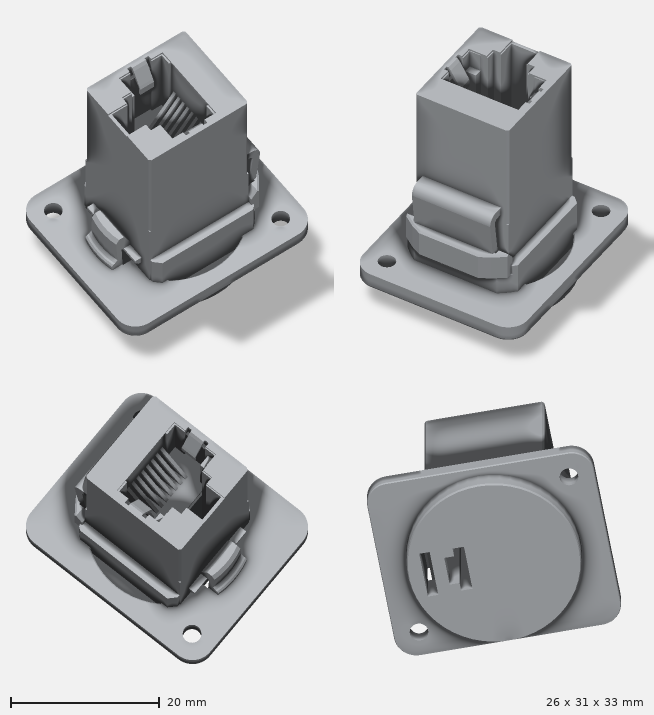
import cadquery as cq

TOTAL_HEIGHT = 33.0
PLATE_BOTTOM = 2.87
PLATE_TOP = 5.15
PAD_TOP = 9.77
CLIP_BOTTOM = 8.3
CLIP_TOP = 12.28
FLOOR_Z = 21.12

PLATE_X = 26.0
PLATE_Y = 31.0
PLATE_CORNER_RADIUS = 3.05
PLATE_CHAMFER_WIDTH = 0.1
PLATE_CHAMFER_HEIGHT = 0.23
HOLE_DIAMETER = 2.5
HOLE_X = 9.5
HOLE_Y = 12.0
DISC_RADIUS = 11.75
DISC_CHAMFER_WIDTH = 0.13
DISC_CHAMFER_HEIGHT = 0.35
DISC_TOP_RADIUS = 11.85
RECESS_RADIUS = 10.75
RECESS_CHAMFER = 0.15
RECESS_LENGTH = 12.08

BODY_X = 14.72
BODY_Y = 16.45
BODY_HALF_Y = BODY_Y / 2
BODY_CHAMFER = 0.3
BODY_CHAMFER_START = 16.45
BASE_HALF_X = 8.75
BASE_RADIUS = 11.85
BASE_CHAMFER = 1.0
PAD_FRONT_Y = -8.1
BASE_BACK_Y = 9.87
PAD_BACK_Y = 8.5

RIM = 0.15
LIP = 0.25
CAVITY_HALF_X = 5.97
CAVITY_FRONT_Y = -3.43
CAVITY_BACK_Y = 3.9
LIP_BACK_Y = 3.7
STRIP_HALF_X = 4.3
STRIP_Y = 3.43
PILLAR_Y = -2.28
PILLAR_TOP = 30.03
FLOOR_STEP_Y = -3.25
FLOOR_STEP = 0.33
FLOOR_END_Y = -3.53
KEYWAY_HALF_X = 3.17
KEYWAY_STEP_Y = -5.08
KEYWAY_TIP_HALF_X = 2.0
KEYWAY_END_Y = -7.72
KEYWAY_LEDGE_Y = -6.45

CONTACT_COUNT = 8
CONTACT_PITCH = 1.02
CONTACT_WIDTH = 0.5
CONTACT_FRONT_Y = -0.5
CONTACT_RISE = 5.28

POCKET_FRONT_Y = -1.75
POCKET_BACK_Y = 1.8
POCKET_HALF_X = 6.27
POCKET_MOUTH_HALF_X = 6.75
POCKET_MOUTH_DEPTH = 2.3
SPRING_WIDTH = 2.28
SPRING_CENTRE_Y = 0.03
SPRING_THICKNESS = 0.25

STRAP_WIDTH = 12.4
STRAP_THICKNESS = 1.22
STRAP_TOP = 19.0
STRAP_BEND_RADIUS = 1.45
STRAP_INNER_RADIUS = 0.63
STRAP_OUTER_Y = 11.0
STRAP_FOOT_Y = 9.75
STRAP_FOOT_Z = 7.8
CLIP_HALF_X = 8.02
CLIP_SHOULDER_X = 6.2
CLIP_BACK_HALF_X = 4.65
CLIP_SIDE_Y = 9.5
CLIP_SHOULDER_Y = 10.82
CLIP_BACK_Y = 11.6
CLIP_CHAMFER = 0.25
CLIP_SLOT_HALF_X = 6.47
CLIP_SLOT_Y = 9.95
CLIP_ARM_SLOPE_Y = 9.25
CLIP_ARM_Z = 11.05

LATCH_INNER_Y = -9.65
LATCH_RADIUS = 10.82
LATCH_FOOT_HALF_X = 3.1
LATCH_TIP_HALF_X = 2.75
LATCH_FOOT_TOP = 5.87
LATCH_FOOT_RIM_RADIUS = 11.52
LATCH_FOOT_RIM_Z = 6.15
LATCH_FOOT_LEDGE_RADIUS = 11.25
LATCH_FOOT_LEDGE_Z = 6.25
LATCH_NECK_Z = 6.63
LATCH_SHOULDER_Z = 10.03
LATCH_TOP = 10.7
LATCH_TOP_FRONT_RADIUS = 10.33
LATCH_TOP_BACK_Y = -9.17
LATCH_NOSE_TOP = 8.98
LATCH_SLOT_HALF_X = 3.25
BAR_LENGTH = 11.02
BAR_FRONT_Y = -9.27
BAR_CHAMFER_Y = -8.7
BAR_CHAMFER_Z = 7.82
BAR_BOTTOM = 7.25


def block(x0, x1, y0, y1, z0, z1):
    """Axis-aligned box between two opposite corners."""
    return cq.Workplane("XY").box(x1 - x0, y1 - y0, z1 - z0, centered=False).translate((x0, y0, z0))


def centred_block(half_x, y0, y1, z0, z1):
    return block(-half_x, half_x, y0, y1, z0, z1)


def extrude_along_x(yz_points, width):
    """Prism with the given Y-Z outline, centred on X = 0."""
    return cq.Workplane("YZ").polyline(yz_points).close().extrude(width / 2, both=True)


def revolve_about_z(rz_points):
    return cq.Workplane("XZ").polyline(rz_points).close().revolve(360, (0, 0), (0, 1))


def flange():
    """Corner-rounded plate over a slightly tapered disc, with two holes and a shallow recess."""
    plate = (
        cq.Workplane("XY")
        .box(PLATE_X, PLATE_Y, PLATE_TOP - PLATE_BOTTOM, centered=(True, True, False))
        .translate((0, 0, PLATE_BOTTOM))
        .edges("|Z")
        .fillet(PLATE_CORNER_RADIUS)
        .faces("<Z")
        .chamfer(PLATE_CHAMFER_HEIGHT, PLATE_CHAMFER_WIDTH)
    )
    disc = revolve_about_z([
        (0, 0),
        (DISC_RADIUS - DISC_CHAMFER_WIDTH, 0),
        (DISC_RADIUS, DISC_CHAMFER_HEIGHT),
        (DISC_TOP_RADIUS, PLATE_BOTTOM),
        (0, PLATE_BOTTOM),
    ])
    holes = (
        cq.Workplane("XY")
        .pushPoints([(HOLE_X, HOLE_Y), (-HOLE_X, -HOLE_Y)])
        .circle(HOLE_DIAMETER / 2)
        .extrude(PLATE_TOP)
    )
    recess = (
        cq.Workplane("XY", origin=(0, 0, PLATE_BOTTOM))
        .circle(RECESS_RADIUS)
        .extrude(PLATE_TOP - PLATE_BOTTOM)
        .intersect(centred_block(RECESS_RADIUS, -RECESS_LENGTH / 2, RECESS_LENGTH / 2, 0, PLATE_TOP))
    )
    plate = plate.cut(holes).cut(recess)
    margin = RECESS_CHAMFER
    recess_rim = cq.selectors.BoxSelector(
        (-RECESS_RADIUS - margin, -RECESS_LENGTH / 2 - margin, PLATE_TOP - margin),
        (RECESS_RADIUS + margin, RECESS_LENGTH / 2 + margin, PLATE_TOP + margin),
    )
    plate = plate.edges(recess_rim).chamfer(RECESS_CHAMFER)
    return plate.union(disc)


def housing():
    """Tall square body; only its upper half has chamfered corners."""
    lower = centred_block(BODY_X / 2, -BODY_HALF_Y, BODY_HALF_Y, PLATE_BOTTOM, BODY_CHAMFER_START)
    upper = (
        centred_block(BODY_X / 2, -BODY_HALF_Y, BODY_HALF_Y, BODY_CHAMFER_START, TOTAL_HEIGHT)
        .edges("|Z")
        .chamfer(BODY_CHAMFER)
    )
    return lower.union(upper)


def insert_base():
    """Round-backed pads around the foot of the housing."""
    pads = centred_block(BASE_HALF_X, PAD_FRONT_Y, PAD_BACK_Y, PLATE_BOTTOM, PAD_TOP)
    pads = pads.edges("|Z and <Y").chamfer(BASE_CHAMFER)
    back = centred_block(BASE_HALF_X, 0, BASE_BACK_Y, PLATE_BOTTOM, CLIP_BOTTOM)
    rounding = cq.Workplane("XY").circle(BASE_RADIUS).extrude(PAD_TOP)
    return pads.union(back).intersect(rounding)


def keyway(margin, z0, z1):
    """Stepped slot in front of the jack cavity, widened by a margin on both sides."""
    wide = centred_block(KEYWAY_HALF_X + margin, KEYWAY_STEP_Y, FLOOR_END_Y, z0, z1)
    narrow = centred_block(KEYWAY_TIP_HALF_X + margin, KEYWAY_END_Y, FLOOR_END_Y, z0, z1)
    return wide.union(narrow)


def jack_cavity():
    """Space removed for the plug, latch keyway and spring pockets."""
    lip_z = TOTAL_HEIGHT - LIP
    step_z = FLOOR_Z - FLOOR_STEP
    mouth = centred_block(CAVITY_HALF_X + RIM, FLOOR_END_Y, LIP_BACK_Y, lip_z, TOTAL_HEIGHT)
    mouth_slot = centred_block(KEYWAY_TIP_HALF_X + RIM, -BODY_HALF_Y, FLOOR_END_Y, lip_z, TOTAL_HEIGHT)
    room = centred_block(CAVITY_HALF_X, CAVITY_FRONT_Y, STRIP_Y, FLOOR_Z, lip_z)
    back = centred_block(STRIP_HALF_X, STRIP_Y, CAVITY_BACK_Y, FLOOR_Z, lip_z)
    floor_step = centred_block(STRIP_HALF_X, FLOOR_END_Y, FLOOR_STEP_Y, step_z, lip_z)
    pocket = centred_block(POCKET_HALF_X, POCKET_FRONT_Y, POCKET_BACK_Y, FLOOR_Z, TOTAL_HEIGHT)
    pocket_mouth = centred_block(
        POCKET_MOUTH_HALF_X, POCKET_FRONT_Y, POCKET_BACK_Y, TOTAL_HEIGHT - POCKET_MOUTH_DEPTH, TOTAL_HEIGHT
    )
    for side in (-1, 1):
        pillar_x = sorted((side * STRIP_HALF_X, side * CAVITY_HALF_X))
        room = room.cut(block(*pillar_x, CAVITY_FRONT_Y, PILLAR_Y, FLOOR_Z, PILLAR_TOP))
    ledge = centred_block(KEYWAY_TIP_HALF_X, KEYWAY_END_Y, KEYWAY_LEDGE_Y, 0, PLATE_BOTTOM)
    slot = keyway(0, 0, TOTAL_HEIGHT).union(keyway(RIM, lip_z, TOTAL_HEIGHT)).cut(ledge)
    cavity = room
    for space in (back, floor_step, mouth, mouth_slot, pocket, pocket_mouth, slot):
        cavity = cavity.union(space)
    return cavity


def contacts():
    """Row of thin wedges sloping from the cavity back wall down to the floor."""
    outline = [
        (CONTACT_FRONT_Y, FLOOR_Z),
        (CAVITY_BACK_Y, FLOOR_Z + CONTACT_RISE),
        (CAVITY_BACK_Y, FLOOR_Z - FLOOR_STEP),
        (CONTACT_FRONT_Y, FLOOR_Z - FLOOR_STEP),
    ]
    wedge = extrude_along_x(outline, CONTACT_WIDTH)
    row = cq.Workplane("XY")
    for i in range(CONTACT_COUNT):
        x = (i - (CONTACT_COUNT - 1) / 2) * CONTACT_PITCH
        row = row.add(wedge.translate((x, 0, 0)))
    return row.combine()


def shield_spring():
    """Bent leaf on the +X side: it leans inward from the pocket mouth, then hangs down."""
    root_x, root_z = 6.47, TOTAL_HEIGHT
    lead_x, lead_z = 6.1, 32.57
    bend_x, bend_z = 4.82, 30.45
    tip_x, knee_z, tip_z = 4.6, 30.03, 28.85
    return (
        cq.Workplane("XZ", origin=(0, SPRING_CENTRE_Y, 0))
        .moveTo(POCKET_MOUTH_HALF_X, root_z)
        .lineTo(root_x, root_z)
        .lineTo(lead_x, lead_z)
        .lineTo(bend_x, bend_z)
        .lineTo(tip_x, knee_z)
        .lineTo(tip_x, tip_z)
        .lineTo(tip_x + SPRING_THICKNESS, tip_z)
        .lineTo(tip_x + SPRING_THICKNESS, knee_z)
        .lineTo(POCKET_MOUTH_HALF_X, root_z - 2 * SPRING_THICKNESS)
        .close()
        .extrude(SPRING_WIDTH / 2, both=True)
    )


def rear_strap():
    """Hook-shaped strap that leaves the housing back and leans down into the clip."""
    bend_z = STRAP_TOP - STRAP_BEND_RADIUS
    inner_y = STRAP_OUTER_Y - STRAP_THICKNESS
    under_z = STRAP_TOP - STRAP_THICKNESS
    return (
        cq.Workplane("YZ")
        .moveTo(BODY_HALF_Y, STRAP_TOP)
        .lineTo(STRAP_OUTER_Y - STRAP_BEND_RADIUS, STRAP_TOP)
        .radiusArc((STRAP_OUTER_Y, bend_z), STRAP_BEND_RADIUS)
        .lineTo(STRAP_FOOT_Y, STRAP_FOOT_Z)
        .lineTo(STRAP_FOOT_Y - STRAP_THICKNESS, STRAP_FOOT_Z)
        .lineTo(inner_y, under_z - STRAP_INNER_RADIUS)
        .radiusArc((inner_y - STRAP_INNER_RADIUS, under_z), -STRAP_INNER_RADIUS)
        .lineTo(BODY_HALF_Y, under_z)
        .close()
        .extrude(STRAP_WIDTH / 2, both=True)
    )


def rear_clip():
    """Bracket around the strap foot with two arms that slope down to the housing."""
    half_outline = [
        (CLIP_HALF_X, BODY_HALF_Y),
        (CLIP_HALF_X, CLIP_SIDE_Y),
        (CLIP_SHOULDER_X, CLIP_SHOULDER_Y),
        (CLIP_BACK_HALF_X, CLIP_BACK_Y),
    ]
    mirrored = [(-x, y) for x, y in reversed(half_outline)]
    bracket = (
        cq.Workplane("XY", origin=(0, 0, CLIP_BOTTOM))
        .polyline(half_outline + mirrored)
        .close()
        .extrude(CLIP_TOP - CLIP_BOTTOM)
    )
    bracket = bracket.faces(">Z").edges("not <Y").edges("not |Y").chamfer(CLIP_CHAMFER)
    slot = centred_block(CLIP_SLOT_HALF_X, BODY_HALF_Y, CLIP_SLOT_Y, CLIP_BOTTOM, CLIP_TOP)
    arm_slope = extrude_along_x(
        [(BODY_HALF_Y, CLIP_ARM_Z), (CLIP_ARM_SLOPE_Y, CLIP_TOP), (BODY_HALF_Y, CLIP_TOP)],
        2 * CLIP_HALF_X,
    )
    return bracket.cut(slot).cut(arm_slope)


def front_latch():
    """Tapered hook whose outer faces are turned about the disc axis."""
    turned = revolve_about_z([
        (0, PLATE_BOTTOM),
        (DISC_RADIUS, PLATE_BOTTOM),
        (DISC_RADIUS, LATCH_FOOT_TOP),
        (LATCH_FOOT_RIM_RADIUS, LATCH_FOOT_RIM_Z),
        (LATCH_FOOT_LEDGE_RADIUS, LATCH_FOOT_LEDGE_Z),
        (LATCH_RADIUS, LATCH_NECK_Z),
        (LATCH_RADIUS, LATCH_SHOULDER_Z),
        (LATCH_TOP_FRONT_RADIUS, LATCH_TOP),
        (0, LATCH_TOP),
    ])
    hook = extrude_along_x(
        [
            (LATCH_INNER_Y, PLATE_BOTTOM),
            (-DISC_RADIUS, PLATE_BOTTOM),
            (-DISC_RADIUS, LATCH_TOP),
            (LATCH_TOP_BACK_Y, LATCH_TOP),
            (-BODY_HALF_Y, LATCH_NOSE_TOP),
            (-BODY_HALF_Y, CLIP_BOTTOM),
            (LATCH_INNER_Y, CLIP_BOTTOM),
        ],
        2 * LATCH_FOOT_HALF_X,
    )
    half_front = [
        (LATCH_FOOT_HALF_X, PLATE_BOTTOM),
        (LATCH_FOOT_HALF_X, PLATE_TOP),
        (LATCH_TIP_HALF_X, LATCH_TOP),
    ]
    mirrored = [(-x, z) for x, z in reversed(half_front)]
    taper = cq.Workplane("XZ").polyline(half_front + mirrored).close().extrude(DISC_RADIUS)
    return hook.intersect(turned).intersect(taper)


def cross_bar():
    """Bar across the housing front, with its lower front corner cut off."""
    return extrude_along_x(
        [
            (-BODY_HALF_Y, CLIP_BOTTOM),
            (BAR_FRONT_Y, CLIP_BOTTOM),
            (BAR_FRONT_Y, BAR_CHAMFER_Z),
            (BAR_CHAMFER_Y, BAR_BOTTOM),
            (-BODY_HALF_Y, BAR_BOTTOM),
        ],
        BAR_LENGTH,
    )


latch_slot = centred_block(LATCH_SLOT_HALF_X, LATCH_INNER_Y, -BODY_HALF_Y, 0, PLATE_TOP)
spring = shield_spring()

result = flange().cut(latch_slot).union(housing()).union(insert_base()).cut(jack_cavity())
for feature in (
    contacts(),
    spring,
    spring.mirror("YZ"),
    rear_strap(),
    rear_clip(),
    front_latch(),
    cross_bar(),
):
    result = result.union(feature)